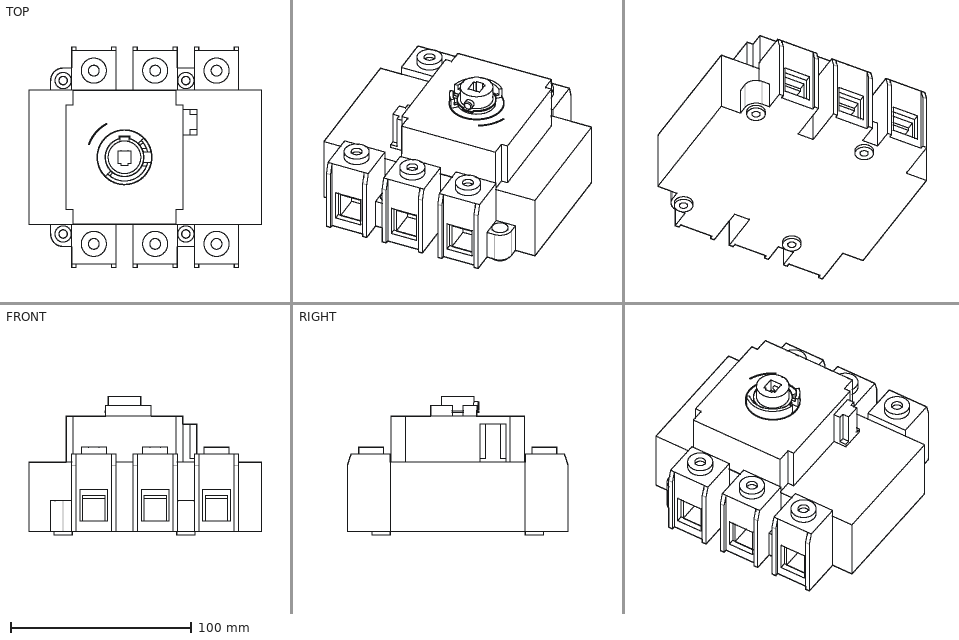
import cadquery as cq
import math


HOUSING_LEFT = -53.0
HOUSING_LENGTH = 129.0
HOUSING_DEPTH = 74.6
HOUSING_HEIGHT = 38.5

COVER_LENGTH = 64.6
COVER_NARROW_LENGTH = 57.2
COVER_DEPTH = 74.0
COVER_WIDE_DEPTH = 57.8
COVER_TOP = 64.0

AUX_REACH = 7.8
AUX_Y_MIN = 12.4
AUX_Y_MAX = 26.6
AUX_TOP = 59.5
AUX_NOTCH_X = 3.8
AUX_NOTCH_Y = 2.9
AUX_NOTCH_FLOOR = 40.4

POLE_PITCH = 34.0
POLE_CENTERS = [-POLE_PITCH / 2 + i * POLE_PITCH for i in range(3)]
TERMINAL_WIDTH = 24.6
TERMINAL_TOP = 43.0
TERMINAL_FACE_Y = 59.2
RIB_OUTER_Y = 61.2
RIB_WIDTH = 2.5
RIB_SHOULDER_Z = 36.7
SCREW_Y = 48.0
SCREW_DIAMETER = 13.93
SCREW_TOP = 46.8
SCREW_SOCKET_DIAMETER = 6.0
SCREW_SOCKET_DEPTH = 2.5

MOUTH_WIDTH = 15.3
MOUTH_FLOOR = 6.0
MOUTH_TOP = 23.4
MOUTH_DEPTH = 3.5
THROAT_WIDTH = 12.4
THROAT_FLOOR = 5.7
THROAT_TOP = 20.1
THROAT_DEPTH = 8.0
CHAMBER_TOP = 18.3
CHAMBER_DEPTH = 18.0

LUG_HOLE_X = 34.0
LUG_HOLE_Y = 42.5
LUG_RADIUS = 7.0
LUG_HEIGHT = 17.1
LUG_HOLE_DIAMETER = 4.5
LUG_BORE_DIAMETER = 9.0
LUG_BORE_DEPTH = 12.0
FOOT_DIAMETER = 10.28
FOOT_HEIGHT = 2.0

KNOB_DIAMETER = 18.1
KNOB_TOP = 74.95
FLANGE_DIAMETER = 21.5
FLANGE_TOP = 66.7
FLANGE_BOTTOM = 65.9
COLLAR_DIAMETER = 21.2
TAB_WIDTH = 6.0
TAB_REACH = 11.8
PIN_DIAMETER = 5.0
PIN_Z = 69.7
PIN_CHAMFER = 0.6
PIN_BORE_DIAMETER = 4.13
PIN_BORE_REACH = 8.0
SOCKET_SIZE = 7.0
SOCKET_DEPTH = 8.0
SOCKET_KEY_WIDTH = 4.13
SOCKET_KEY_DEPTH = 1.0

SEAM_OUTER_DIAMETER = 30.5
SEAM_INNER_DIAMETER = 30.0
SEAM_DEPTH = 0.5
GUARD_INNER_DIAMETER = 21.8
GUARD_TOP = 70.0
GUARD_START_ANGLE = 45.0
GUARD_SWEEP = 180.0
GUARD_STEP_DIAMETER = 26.3
GUARD_LEDGE_Z = 65.9
GUARD_PIT_INSET = 7.0
GUARD_GAP_WIDTH = 5.9
GUARD_POSTS_WIDTH = 9.8
GUARD_POSTS_TOP = 67.2

MARK_RADIUS = 21.0
MARK_WIDTH = 0.5
MARK_DEPTH = 0.2
MARK_START_ANGLE = 118.0
MARK_END_ANGLE = 160.0


def box(x_min, x_max, y_min, y_max, z_min, z_max):
    """Axis-aligned block between the given limits."""
    size = (x_max - x_min, y_max - y_min, z_max - z_min)
    return cq.Workplane("XY").box(*size, centered=False).translate((x_min, y_min, z_min))


def cylinder(diameter, z_min, z_max, x=0.0, y=0.0):
    """Upright cylinder."""
    return cq.Workplane("XY", origin=(x, y, z_min)).circle(diameter / 2).extrude(z_max - z_min)


def ring_sector(inner_radius, outer_radius, start, end, z_min, z_max):
    """Part of a ring about the Z axis, from the start angle to the end angle in degrees."""

    def at(radius, angle):
        turn = math.radians(angle)
        return (radius * math.cos(turn), radius * math.sin(turn))

    middle = (start + end) / 2
    return (
        cq.Workplane("XY", origin=(0, 0, z_min))
        .moveTo(*at(inner_radius, start))
        .lineTo(*at(outer_radius, start))
        .threePointArc(at(outer_radius, middle), at(outer_radius, end))
        .lineTo(*at(inner_radius, end))
        .threePointArc(at(inner_radius, middle), at(inner_radius, start))
        .close()
        .extrude(z_max - z_min)
    )


def both_sides(side):
    """The +Y feature together with its mirror image on the -Y side."""
    return side.union(side.mirror("XZ"))


def make_housing():
    half_depth = HOUSING_DEPTH / 2
    return box(HOUSING_LEFT, HOUSING_LEFT + HOUSING_LENGTH, -half_depth, half_depth, 0, HOUSING_HEIGHT)


def make_cover():
    height = COVER_TOP - HOUSING_HEIGHT
    base = cq.Workplane("XY", origin=(0, 0, HOUSING_HEIGHT))
    wide = base.rect(COVER_LENGTH, COVER_WIDE_DEPTH).extrude(height)
    narrow = base.rect(COVER_NARROW_LENGTH, COVER_DEPTH).extrude(height)
    return wide.union(narrow)


def make_aux_block():
    """Side block whose two outer corners are cut down to a low floor."""
    x_min = COVER_LENGTH / 2
    x_max = x_min + AUX_REACH
    block = box(x_min, x_max, AUX_Y_MIN, AUX_Y_MAX, HOUSING_HEIGHT, AUX_TOP)
    for y in (AUX_Y_MIN, AUX_Y_MAX - AUX_NOTCH_Y):
        block = block.cut(box(x_max - AUX_NOTCH_X, x_max, y, y + AUX_NOTCH_Y, AUX_NOTCH_FLOOR, AUX_TOP))
    return block


def make_terminal(x):
    """One +Y terminal: body, two side ribs with sloped tops, clamp screw and cable opening."""
    half_width = TERMINAL_WIDTH / 2
    root_y = HOUSING_DEPTH / 2
    terminal = box(x - half_width, x + half_width, root_y, TERMINAL_FACE_Y, 0, TERMINAL_TOP)

    rib_profile = [
        (root_y, 0),
        (RIB_OUTER_Y, 0),
        (RIB_OUTER_Y, RIB_SHOULDER_Z),
        (TERMINAL_FACE_Y, TERMINAL_TOP),
        (root_y, TERMINAL_TOP),
    ]
    for rib_x in (x - half_width, x + half_width - RIB_WIDTH):
        rib = cq.Workplane("YZ", origin=(rib_x, 0, 0)).polyline(rib_profile).close().extrude(RIB_WIDTH)
        terminal = terminal.union(rib)

    terminal = terminal.union(cylinder(SCREW_DIAMETER, TERMINAL_TOP, SCREW_TOP, x, SCREW_Y))
    socket_floor = SCREW_TOP - SCREW_SOCKET_DEPTH
    terminal = terminal.cut(cylinder(SCREW_SOCKET_DIAMETER, socket_floor, SCREW_TOP, x, SCREW_Y))

    mouth_back_y = TERMINAL_FACE_Y - MOUTH_DEPTH
    throat_back_y = TERMINAL_FACE_Y - THROAT_DEPTH
    chamber_back_y = TERMINAL_FACE_Y - CHAMBER_DEPTH
    half_mouth = MOUTH_WIDTH / 2
    half_throat = THROAT_WIDTH / 2
    mouth = box(x - half_mouth, x + half_mouth, mouth_back_y, TERMINAL_FACE_Y, MOUTH_FLOOR, MOUTH_TOP)
    throat = box(x - half_throat, x + half_throat, throat_back_y, mouth_back_y, THROAT_FLOOR, THROAT_TOP)
    chamber = box(x - half_throat, x + half_throat, chamber_back_y, mouth_back_y, THROAT_FLOOR, CHAMBER_TOP)
    return terminal.cut(mouth).cut(throat).cut(chamber)


def make_lugs():
    """The two +Y lugs: a rounded corner lug and a web between two terminals, each on a round foot."""
    root_y = HOUSING_DEPTH / 2
    outer_y = LUG_HOLE_Y + LUG_RADIUS
    corner_x = -LUG_HOLE_X - LUG_RADIUS
    half_width = TERMINAL_WIDTH / 2
    corner_lug = box(corner_x, POLE_CENTERS[0] - half_width, root_y, outer_y, 0, LUG_HEIGHT)
    corner_lug = corner_lug.edges("|Z and <X and >Y").fillet(LUG_RADIUS)
    web = box(POLE_CENTERS[1] + half_width, POLE_CENTERS[2] - half_width, root_y, outer_y, 0, LUG_HEIGHT)
    lugs = corner_lug.union(web)
    for x in (-LUG_HOLE_X, LUG_HOLE_X):
        lugs = lugs.union(cylinder(FOOT_DIAMETER, -FOOT_HEIGHT, 0, x, LUG_HOLE_Y))
    return lugs


def make_lug_holes():
    """Counterbored through holes of the two +Y lugs."""
    bore_floor = LUG_HEIGHT - LUG_BORE_DEPTH
    holes = cq.Workplane("XY")
    for x in (-LUG_HOLE_X, LUG_HOLE_X):
        holes = holes.union(cylinder(LUG_HOLE_DIAMETER, -FOOT_HEIGHT, LUG_HEIGHT, x, LUG_HOLE_Y))
        holes = holes.union(cylinder(LUG_BORE_DIAMETER, bore_floor, LUG_HEIGHT, x, LUG_HOLE_Y))
    return holes


def make_seam():
    """Thin circular groove in the cover around the drive."""
    bottom = COVER_TOP - SEAM_DEPTH
    outer = cylinder(SEAM_OUTER_DIAMETER, bottom, COVER_TOP)
    return outer.cut(cylinder(SEAM_INNER_DIAMETER, bottom, COVER_TOP))


def make_arc_mark():
    return ring_sector(
        MARK_RADIUS - MARK_WIDTH / 2,
        MARK_RADIUS + MARK_WIDTH / 2,
        MARK_START_ANGLE,
        MARK_END_ANGLE,
        COVER_TOP - MARK_DEPTH,
        COVER_TOP,
    )


def make_guard():
    """Half-round wall with an inner ledge, a pit in the ledge and a gap between two posts on the +X side."""
    inner_radius = GUARD_INNER_DIAMETER / 2
    outer_radius = SEAM_INNER_DIAMETER / 2
    step_radius = GUARD_STEP_DIAMETER / 2
    start = GUARD_START_ANGLE - GUARD_SWEEP
    end = GUARD_START_ANGLE
    pit_start = start + GUARD_PIT_INSET
    pit_end = end - GUARD_PIT_INSET

    def strip(width, top):
        return box(0, SEAM_OUTER_DIAMETER, -width / 2, width / 2, COVER_TOP, top)

    guard = ring_sector(inner_radius, outer_radius, start, end, COVER_TOP, GUARD_TOP)
    ledge_cut = ring_sector(inner_radius, step_radius, start, end, GUARD_LEDGE_Z, GUARD_TOP)
    pit = ring_sector(inner_radius, step_radius, pit_start, pit_end, COVER_TOP, GUARD_TOP)
    posts = pit.intersect(strip(GUARD_POSTS_WIDTH, GUARD_POSTS_TOP))
    return guard.cut(ledge_cut).cut(pit).union(posts).cut(strip(GUARD_GAP_WIDTH, GUARD_TOP))


def make_drive():
    """Knob on a collar and a tabbed flange, with a radial pin and a keyed square socket."""
    collar = cylinder(COLLAR_DIAMETER, COVER_TOP, FLANGE_BOTTOM)
    flange = cylinder(FLANGE_DIAMETER, FLANGE_BOTTOM, FLANGE_TOP)
    tab = box(-TAB_WIDTH / 2, TAB_WIDTH / 2, 0, TAB_REACH, FLANGE_BOTTOM, FLANGE_TOP)
    knob = cylinder(KNOB_DIAMETER, FLANGE_TOP, KNOB_TOP)
    radial = cq.Workplane("XZ", origin=(0, 0, PIN_Z))
    pin = radial.circle(PIN_DIAMETER / 2).extrude(-TAB_REACH).faces(">Y").chamfer(PIN_CHAMFER)
    drive = collar.union(flange).union(tab).union(knob).union(pin)

    half_socket = SOCKET_SIZE / 2
    half_key = SOCKET_KEY_WIDTH / 2
    floor = KNOB_TOP - SOCKET_DEPTH
    socket = box(-half_socket, half_socket, -half_socket, half_socket, floor, KNOB_TOP)
    key = box(-half_key, half_key, -half_socket - SOCKET_KEY_DEPTH, 0, floor, KNOB_TOP)
    pin_bore = radial.circle(PIN_BORE_DIAMETER / 2).extrude(-PIN_BORE_REACH)
    return drive.cut(socket).cut(key).cut(pin_bore)


terminal_row = make_terminal(POLE_CENTERS[0])
for pole_x in POLE_CENTERS[1:]:
    terminal_row = terminal_row.union(make_terminal(pole_x))

result = (
    make_housing()
    .union(make_cover())
    .union(make_aux_block())
    .union(both_sides(terminal_row))
    .union(both_sides(make_lugs()))
    .cut(both_sides(make_lug_holes()))
    .cut(make_seam())
    .cut(make_arc_mark())
    .union(make_guard())
    .union(make_drive())
)